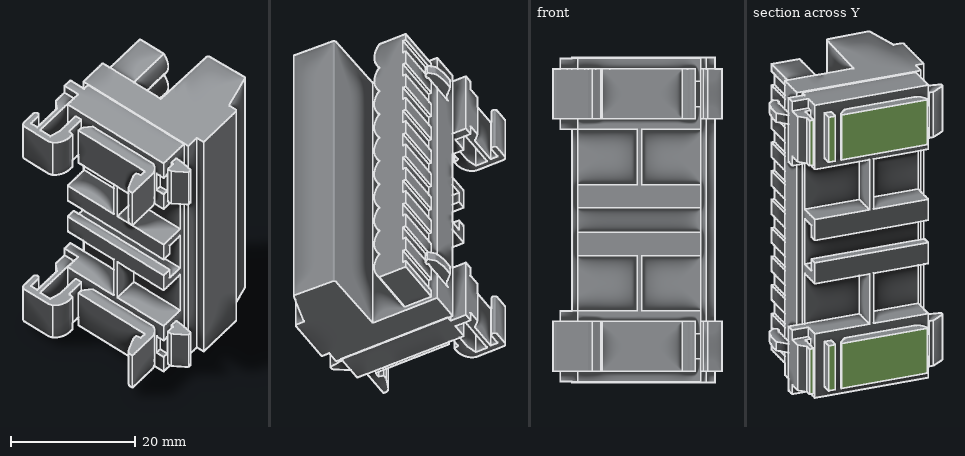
import cadquery as cq
import math


length = 52.3
housing_left = 3.05
housing_right = 24.7
housing_bottom = 12.15
shelf_y = 17.1
shoulder_right = 26.1
shoulder_bottom = 14.35
shoulder_top = 22.9
tower_foot_left = 15.0
tower_top_left = 15.2
tower_left_height = 28.9
tower_right_foot = 24.4
tower_top_right = 22.8
tower_height = 29.15
tower_left_radius = 0.4
tower_right_radius = 0.25

pole_pitch = 5.05
pole_count = 10
strip_left = 4.15
strip_right = 9.05
strip_top = 25.3
bulge = 0.95
groove_width = 2.45
groove_depth = 0.5

base_length = 52.0
base_left = 4.0
base_right = 23.8
base_front = 6.9
floor_y = 11.15
base_middle = (base_left + base_right) / 2
web_thickness = 0.75
pocket_inner_z = 5.7
channel_inner_half = 4.05
channel_mouth_half = 2.0
channel_lip_y = 8.45

station_z = 4 * pole_pitch
station_heights = (-station_z, station_z)
foot_width = 8.05
flange_left = 1.15
flange_front = 9.6
flange_width = base_length - 2 * station_z
pocket_outer_z = station_z - flange_width / 2
foot_corner_radius = 0.65
latch_width = 1.55

slot_width = 4.1
slot_left = 22.35
slot_depth = 0.95

overlap = 0.5


def block(x0, x1, y0, y1, z0, z1):
    """Axis-aligned box between two corners."""
    return cq.Workplane("XY").box(x1 - x0, y1 - y0, z1 - z0, centered=False).translate((x0, y0, z0))


def centred(outline, width, z=0.0):
    """Extrude a closed XY outline to the given width, centred on height z."""
    return outline.close().extrude(width).translate((0, 0, z - width / 2))


def make_housing():
    outline = cq.Workplane("XY").polyline([
        (housing_left, housing_bottom),
        (housing_right, housing_bottom),
        (housing_right, shoulder_bottom),
        (shoulder_right, shoulder_bottom),
        (shoulder_right, shoulder_top),
        (tower_right_foot, shoulder_top),
        (tower_top_right, tower_height),
        (tower_top_left, tower_left_height),
        (tower_foot_left, shelf_y),
        (housing_left, shelf_y),
    ])
    housing = centred(outline, length)
    rounded_edges = (
        (tower_top_left, tower_left_height, tower_left_radius),
        (tower_top_right, tower_height, tower_right_radius),
        (shoulder_right, shoulder_top, tower_right_radius),
    )
    for x, y, radius in rounded_edges:
        housing = housing.edges(cq.selectors.NearestToPointSelector((x, y, 0))).fillet(radius)
    return housing


def make_bulge(z):
    """Shallow rounded bulge on the right face of one pole, a circle segment in XZ."""
    half = pole_pitch / 2
    return (
        cq.Workplane("XZ", origin=(0, shelf_y - overlap, 0))
        .moveTo(strip_right - overlap, z - half)
        .lineTo(strip_right, z - half)
        .threePointArc((strip_right + bulge, z), (strip_right, z + half))
        .lineTo(strip_right - overlap, z + half)
        .close()
        .extrude(-(strip_top - shelf_y + overlap))
    )


def make_terminal_strip():
    half = pole_count * pole_pitch / 2
    strip = block(strip_left, strip_right, shelf_y - overlap, strip_top, -half, half)
    for pole in range(pole_count):
        z = -half + (pole + 0.5) * pole_pitch
        groove = block(strip_left, strip_left + groove_depth, shelf_y, strip_top,
                       z - groove_width / 2, z + groove_width / 2)
        strip = strip.cut(groove).union(make_bulge(z))
    return strip


def make_base():
    half = base_length / 2
    base = block(base_left, base_right, base_front, housing_bottom + overlap, -half, half)

    base = base.cut(block(base_left, base_right, channel_lip_y, floor_y,
                          -channel_inner_half, channel_inner_half))
    base = base.cut(block(base_left, base_right, base_front, channel_lip_y,
                          -channel_mouth_half, channel_mouth_half))

    web_left = base_middle - web_thickness / 2
    web_right = base_middle + web_thickness / 2
    for z0, z1 in ((pocket_inner_z, pocket_outer_z), (-pocket_outer_z, -pocket_inner_z)):
        base = base.cut(block(base_left, web_left, base_front, floor_y, z0, z1))
        base = base.cut(block(web_right, base_right, base_front, floor_y, z0, z1))

    for z in station_heights:
        base = base.cut(block(slot_left, base_right, base_front, base_front + slot_depth,
                              z - slot_width / 2, z + slot_width / 2))
    return base


def make_flange(z):
    """Shelf on the left of the base that carries the spring foot."""
    return block(flange_left, base_left + overlap, flange_front, floor_y,
                 z - flange_width / 2, z + flange_width / 2)


def make_spring_foot(z):
    """Left foot: thin arm, U-bend and barbed claw, with a finger hook at the end."""
    arm_left = 2.3
    arm_right = housing_left
    hook_right = 1.0
    hook_tip_y = 3.55
    hook_round = hook_right / 2
    claw_left = 5.65
    claw_right = 6.85
    barb_x = 7.7
    claw_radius = 3.4
    web_y = 1.05
    hook_floor_y = 1.2
    arm_link_y = 8.7
    claw_bevel_end = (6.35, 0.2)
    outline = (
        cq.Workplane("XY")
        .moveTo(flange_left, flange_front + overlap)
        .lineTo(flange_left, 7.4)
        .lineTo(arm_left, 6.3)
        .lineTo(arm_left, hook_floor_y)
        .lineTo(hook_right, hook_floor_y)
        .lineTo(hook_right, hook_tip_y - hook_round)
        .threePointArc((hook_round, hook_tip_y), (0, hook_tip_y - hook_round))
        .lineTo(0, foot_corner_radius)
        .radiusArc((foot_corner_radius, 0), -foot_corner_radius)
        .lineTo(claw_left, 0)
        .lineTo(*claw_bevel_end)
        .radiusArc((barb_x, 2.6), -claw_radius)
        .lineTo(barb_x, 3.55)
        .lineTo(claw_right, 3.75)
        .lineTo(claw_right, base_front + overlap)
        .lineTo(claw_left, base_front + overlap)
        .lineTo(claw_left, 2.9)
        .lineTo(5.1, web_y)
        .lineTo(arm_right, web_y)
        .lineTo(arm_right, arm_link_y)
        .lineTo(base_left + overlap, arm_link_y)
        .lineTo(base_left + overlap, flange_front + overlap)
    )
    return centred(outline, foot_width, z)


def make_fixed_foot(z):
    """Right foot: plate under the base that ends in a fixed claw."""
    plate_left = 7.9
    plate_front = 4.8
    root_left = 9.15
    root_right = 21.7
    claw_right = 22.9
    claw_inner = 21.6
    claw_tip = 21.65
    barb_x = 20.75
    outline = (
        cq.Workplane("XY")
        .moveTo(plate_left, plate_front)
        .lineTo(plate_left, 5.55)
        .lineTo(root_left, base_front)
        .lineTo(root_left, base_front + overlap)
        .lineTo(root_right, base_front + overlap)
        .lineTo(root_right, base_front)
        .threePointArc((22.55, 6.15), (claw_right, 5.35))
        .lineTo(claw_right, 0)
        .lineTo(22.6, 0)
        .threePointArc((22.0, 0.15), (claw_tip, 0.65))
        .lineTo(barb_x, 2.9)
        .lineTo(barb_x, 3.6)
        .lineTo(claw_inner, 3.8)
        .lineTo(claw_inner, plate_front)
    )
    return centred(outline, foot_width, z)


def make_release_tab(z):
    """Wedge on the right of the base, undercut next to the base."""
    undercut_x = 24.15
    undercut_y = 8.9
    tab_bottom = 7.5
    tab_top = 10.15
    tab_right = 27.2
    outline = cq.Workplane("XY").polyline([
        (base_right - overlap, tab_top),
        (base_right, tab_top),
        (25.05, 10.05),
        (tab_right, 9.7),
        (tab_right, 9.1),
        (27.0, 8.9),
        (24.9, tab_bottom),
        (undercut_x, tab_bottom),
        (undercut_x, undercut_y),
        (base_right - overlap, undercut_y),
    ])
    return centred(outline, foot_width, z)


def make_latch(z):
    """Hooked marker latch on the left face of the housing."""
    latch_left = 1.15
    slope_corner_y = 16.2
    hook_right = 3.25
    blend_radius = 1.65
    blend_reach = blend_radius * math.tan(math.radians(45 / 2))
    meet_y = slope_corner_y - (housing_left - latch_left)
    blend_shift = blend_reach * math.sqrt(0.5)
    outline = (
        cq.Workplane("XY")
        .moveTo(latch_left, slope_corner_y)
        .lineTo(latch_left, 18.1)
        .threePointArc((1.165, 18.25), (1.2, 18.4))
        .lineTo(1.45, 19.8)
        .threePointArc((1.53, 20.0), (1.6, 20.15))
        .lineTo(2.55, 21.1)
        .lineTo(hook_right, 20.6)
        .lineTo(hook_right, 20.05)
        .lineTo(housing_left, 19.9)
        .lineTo(housing_left, shelf_y)
        .lineTo(housing_left + overlap, shelf_y)
        .lineTo(housing_left + overlap, meet_y - blend_reach)
        .lineTo(housing_left, meet_y - blend_reach)
        .radiusArc((housing_left - blend_shift, meet_y + blend_shift), -blend_radius)
    )
    return centred(outline, latch_width, z)


result = make_housing().union(make_terminal_strip()).union(make_base())
for station in station_heights:
    for make_piece in (make_flange, make_spring_foot, make_fixed_foot, make_release_tab, make_latch):
        result = result.union(make_piece(station))